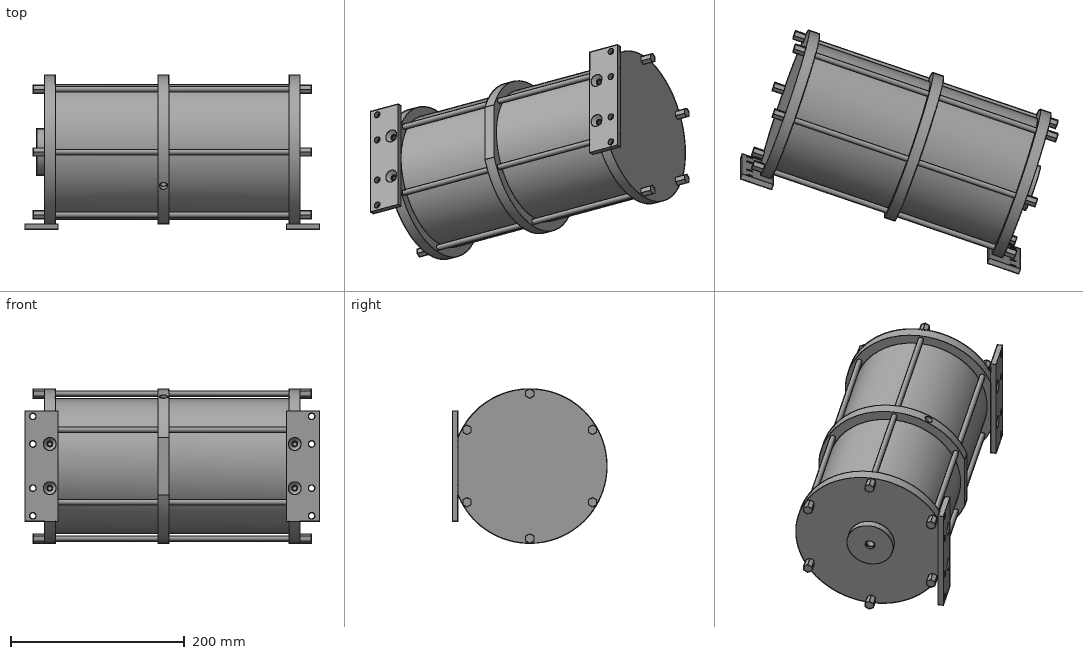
import cadquery as cq
import math


OVERALL_LENGTH = 338.71

FOOT_WIDTH = 38.1
FOOT_HEIGHT = 127.0
FOOT_THICKNESS = 6.35
FOOT_HOLE_DIAMETER = 7.14
FOOT_HOLE_EDGE = 9.1
FOOT_HOLE_HEIGHTS = (-57.15, -25.4, 25.4, 57.15)

SCREW_HEIGHTS = (-25.4, 25.4)
SCREW_HEAD_DIAMETER = 14.7
SCREW_CLEARANCE_DIAMETER = 6.6
SCREW_TAP_DIAMETER = 5.1
COUNTERSINK_ANGLE = 82.0
SCREW_TAP_DEPTH = 16.0

BARREL_DIAMETER = 155.58
FLANGE_DIAMETER = 177.8
FLANGE_THICKNESS = 12.7
FLANGE_FLAT = FLANGE_DIAMETER / 2 - FOOT_THICKNESS
FLANGE_INSET = 22.225
FLANGE_START = OVERALL_LENGTH / 2 - FLANGE_INSET
FLANGE_CENTER = FLANGE_START - FLANGE_THICKNESS / 2
RING_CENTER = -10.1

PORT_DIAMETER = 8.73
PORT_TILT = 26.0
PORT_DEPTH = 8.0

ROD_COUNT = 6
ROD_DIAMETER = 6.35
ROD_CIRCLE_RADIUS = 83.344
HEX_FLATS = 9.525
HEX_LENGTH = 12.7

BOSS_DIAMETER = 53.975
BOSS_LENGTH = 8.73
BOSS_FACE = -FLANGE_START - BOSS_LENGTH
BOSS_HOLE_DIAMETER = 9.1
BOSS_HOLE_DEPTH = 19.0
BOSS_COUNTERBORE_DIAMETER = 11.1
BOSS_COUNTERBORE_DEPTH = 3.5

DRILL_POINT_ANGLE = 118.0


def cylinder_along_x(diameter, start, length, y=0.0, z=0.0):
    plane = cq.Workplane("YZ", origin=(start, y, z))
    return plane.circle(diameter / 2).extrude(length)


def cone_height(diameter, included_angle):
    return diameter / 2 / math.tan(math.radians(included_angle / 2))


def make_drilled_hole(diameter, depth, mouth, direction):
    """A blind hole with a pointed bottom; depth is that of the full diameter."""
    shaft = cq.Solid.makeCylinder(diameter / 2, depth, mouth, direction)
    point_height = cone_height(diameter, DRILL_POINT_ANGLE)
    point = cq.Solid.makeCone(diameter / 2, 0, point_height, mouth + direction * depth, direction)
    return cq.Workplane(shaft).union(cq.Workplane(point))


def make_flanged_disc(center):
    """A disc with its -Y side cut to a flat."""
    disc = cylinder_along_x(FLANGE_DIAMETER, center - FLANGE_THICKNESS / 2, FLANGE_THICKNESS)
    keep = cq.Workplane("XY").box(FLANGE_THICKNESS, FLANGE_DIAMETER, FLANGE_DIAMETER)
    keep = keep.translate((center, FLANGE_DIAMETER / 2 - FLANGE_FLAT, 0))
    return disc.intersect(keep)


def make_tie_rods():
    """Round rods with a hexagonal end at each flange; every hexagon has corners at +Z and -Z."""
    rods = cq.Workplane("YZ")
    hex_corners = HEX_FLATS / math.cos(math.pi / 6)
    for index in range(ROD_COUNT):
        angle = math.radians(90 + index * 360 / ROD_COUNT)
        y = ROD_CIRCLE_RADIUS * math.cos(angle)
        z = ROD_CIRCLE_RADIUS * math.sin(angle)
        rods = rods.union(cylinder_along_x(ROD_DIAMETER, -FLANGE_START, 2 * FLANGE_START, y, z))
        for start in (-FLANGE_START - HEX_LENGTH, FLANGE_START):
            head = cq.Workplane("YZ", origin=(start, y, z)).transformed(rotate=(0, 0, 90))
            rods = rods.union(head.polygon(6, hex_corners).extrude(HEX_LENGTH))
    return rods


def make_foot(side):
    """One foot plate with its mounting holes; side is -1 or +1 along X."""
    center_x = side * (OVERALL_LENGTH - FOOT_WIDTH) / 2
    hole_x = side * (OVERALL_LENGTH / 2 - FOOT_HOLE_EDGE)
    foot = cq.Workplane("XY").box(FOOT_WIDTH, FOOT_THICKNESS, FOOT_HEIGHT)
    foot = foot.translate((center_x, -FLANGE_FLAT - FOOT_THICKNESS / 2, 0))
    for z in FOOT_HOLE_HEIGHTS:
        mouth = cq.Vector(hole_x, -FLANGE_DIAMETER / 2, z)
        hole = cq.Solid.makeCylinder(FOOT_HOLE_DIAMETER / 2, FOOT_THICKNESS, mouth, cq.Vector(0, 1, 0))
        foot = foot.cut(cq.Workplane(hole))
    return foot


def make_screw_hole(side, z):
    """A countersunk clearance hole through the foot, with a smaller tap hole on into the flange."""
    mouth = cq.Vector(side * FLANGE_CENTER, -FLANGE_DIAMETER / 2, z)
    inward = cq.Vector(0, 1, 0)
    sink_height = cone_height(SCREW_HEAD_DIAMETER, COUNTERSINK_ANGLE)
    sink = cq.Solid.makeCone(SCREW_HEAD_DIAMETER / 2, 0, sink_height, mouth, inward)
    clearance = cq.Solid.makeCylinder(SCREW_CLEARANCE_DIAMETER / 2, FOOT_THICKNESS, mouth, inward)
    tap_hole = make_drilled_hole(SCREW_TAP_DIAMETER, SCREW_TAP_DEPTH, mouth, inward)
    return tap_hole.union(cq.Workplane(clearance)).union(cq.Workplane(sink))


def make_port():
    tilt = math.radians(PORT_TILT)
    outward = cq.Vector(0, -math.sin(tilt), math.cos(tilt))
    mouth = cq.Vector(RING_CENTER, 0, 0) + outward * (FLANGE_DIAMETER / 2)
    return make_drilled_hole(PORT_DIAMETER, PORT_DEPTH, mouth, outward * -1)


def make_boss_hole():
    mouth = cq.Vector(BOSS_FACE, 0, 0)
    hole = make_drilled_hole(BOSS_HOLE_DIAMETER, BOSS_HOLE_DEPTH, mouth, cq.Vector(1, 0, 0))
    return hole.union(cylinder_along_x(BOSS_COUNTERBORE_DIAMETER, BOSS_FACE, BOSS_COUNTERBORE_DEPTH))


def make_part():
    part = cylinder_along_x(BARREL_DIAMETER, -FLANGE_START, 2 * FLANGE_START)
    for center in (-FLANGE_CENTER, RING_CENTER, FLANGE_CENTER):
        part = part.union(make_flanged_disc(center))
    part = part.union(make_tie_rods())
    part = part.union(cylinder_along_x(BOSS_DIAMETER, BOSS_FACE, BOSS_LENGTH))
    part = part.cut(make_boss_hole())
    part = part.cut(make_port())

    for side in (-1, 1):
        part = part.union(make_foot(side))
        for z in SCREW_HEIGHTS:
            part = part.cut(make_screw_hole(side, z))
    return part


result = make_part()